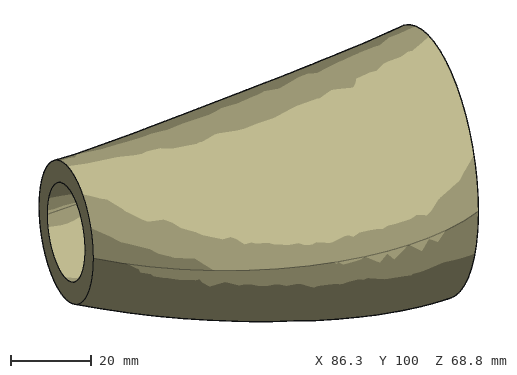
import cadquery as cq
import math

length = 100.0
small_radius = 18.1
large_radius = 34.4
large_end_offset = -9.0
left_bow = 3.4
right_bow = 21.0
wall = 5.6
section_count = 11


def arc_x(y, start_x, end_x, bow, side):
    """X at position y on the arc from (start_x, 0) to (end_x, length), bulging to side (+1 or -1)."""
    run = end_x - start_x
    chord = math.hypot(run, length)
    radius = (chord**2 / 4 + bow**2) / (2 * bow)
    center_distance = radius - bow
    center_x = (start_x + end_x) / 2 - side * center_distance * length / chord
    center_y = length / 2 + side * center_distance * run / chord
    return center_x + side * math.sqrt(radius**2 - (y - center_y) ** 2)


def section(y, inset):
    """Elliptical cross-section at y, shrunk evenly by inset and split into halves at Z = 0."""
    left = arc_x(y, -small_radius, large_end_offset - large_radius, left_bow, -1)
    right = arc_x(y, small_radius, large_end_offset + large_radius, right_bow, 1)
    half_width = (right - left) / 2 - inset
    half_height = small_radius + (large_radius - small_radius) * y / length - inset
    center = cq.Vector((left + right) / 2, y, 0)
    facing = cq.Vector(0, -1, 0)
    across = cq.Vector(1, 0, 0)
    upper = cq.Edge.makeEllipse(half_width, half_height, center, facing, across, 0, 180)
    lower = cq.Edge.makeEllipse(half_width, half_height, center, facing, across, 180, 360)
    return cq.Wire.assembleEdges([upper, lower])


def lofted_body(inset):
    """Smooth solid through the evenly spaced cross-sections."""
    step = length / (section_count - 1)
    wires = [section(index * step, inset) for index in range(section_count)]
    return cq.Workplane(obj=cq.Solid.makeLoft(wires))


result = lofted_body(0).cut(lofted_body(wall))